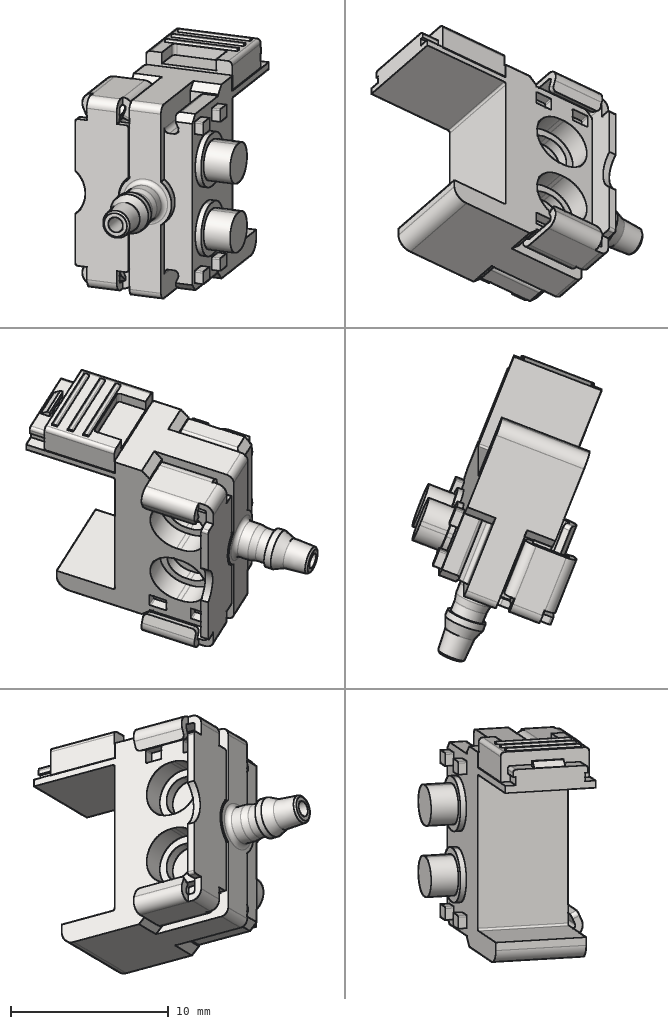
import cadquery as cq
import math


half_width = 3.0
half_height = 6.5
body_back = 7.4
arm_end = 13.58
arm_under = 5.02
arm_plate_top = 5.49
leg_end = 11.45
leg_top = -5.05
leg_radius = 0.93
inner_radius = 0.15

spine_half = 1.08
spine_radius = 0.5
flank_front = 0.58
bevel_back = 5.52
bevel_foot = 4.98
bevel_foot_height = 5.99
lip_chamfer = 0.5
groove_floor = 4.55
groove_radius = 0.32
boss_radius = 1.8

clip_x = -half_width
sheet = 0.5
plate_half_width = 1.82
plate_half_height = 4.91
plate_corner = 0.19
arm_half_width = 1.02
clip_top = 6.4
bend_radius = 0.67
hook_tilt = math.radians(24)
hook_flange = 0.69
hook_inner = 0.22
hook_outer = hook_inner + sheet
hook_front = 1.08
hook_back = 4.76
hook_corner = 0.3
notch_radius = 1.86

port_y = 2.98
port_z = 2.3
port_flat = 0.3
plug_diameter = 2.6
plug_length = 1.8
collar_diameter = 3.5
collar_length = 0.39
counterbore_diameter = 3.63
counterbore_depth = 1.49
socket_depth = collar_length + plug_length
peg_offset = 1.43
peg_size_y = 1.12
peg_size_z = 0.85
peg_z = 4.98
peg_length = 0.58
peg_radius = 0.07
recess_clearance = 0.05

barb_length = 5.02
barb_bore = 1.0
barb_bore_end = port_y
base_radius = 2.4 / 2
base_fillet = 0.32
neck_start = 1.02
neck_end = 1.53
neck_radius = 2.2 / 2
ridge_start = 2.21
ridge_end = 2.68
ridge_radius = 2.6 / 2
tail_start = 3.4
tail_radius = 2.0 / 2
tip_radius = 0.91
tip_chamfer = 0.13

button_half = 2.94
button_back = 12.33
button_front = 7.45
button_top = 7.42
button_radius = 0.28
pocket_half = 1.86
pocket_back = 9.4
pocket_floor = 6.68
pocket_corner = 0.22
rib_places = (11.85, 10.75, 9.67)
rib_half = 2.47
rib_width = 0.39
rib_height = 0.13
rib_round = 0.11

tongue_half = 2.47
tongue_neck_half = 2.29
tongue_under = 6.03
tongue_top = 6.51
tongue_radius = 0.2
tooth_half = 1.02
tooth_front = 12.83
tooth_crest = 13.02
tooth_back = 13.47
tooth_top = 6.86

overlap = 0.19


def box(x0, x1, y0, y1, z0, z1):
    return cq.Workplane("XY").box(x1 - x0, y1 - y0, z1 - z0, centered=False).translate((x0, y0, z0))


def side_profile(points, half):
    """Closed (Y, Z) outline extruded to both sides of X = 0."""
    return cq.Workplane("YZ").polyline(points).close().extrude(half, both=True)


def both_ends(shape):
    """The shape and its mirror image below Z = 0."""
    return shape.union(shape.mirror("XY"))


def both_sides(shape):
    """The shape and its mirror image across X = 0."""
    return shape.union(shape.mirror("YZ"))


def oblong(diameter, x0, x1, z):
    """Prism along X whose section is a circle stretched in Y by the port flat."""
    section = cq.Workplane("YZ").slot2D(diameter + port_flat, diameter)
    return section.extrude(x1 - x0).translate((x0, port_y, z))


def body():
    """C-shaped side outline with the upper arm plate and the lower leg."""
    outline = (
        cq.Workplane("YZ")
        .moveTo(0, -half_height)
        .lineTo(leg_end - leg_radius, -half_height)
        .radiusArc((leg_end, -half_height + leg_radius), -leg_radius)
        .lineTo(leg_end, leg_top)
        .lineTo(body_back, leg_top)
        .lineTo(body_back, arm_under)
        .lineTo(arm_end, arm_under)
        .lineTo(arm_end, arm_plate_top)
        .lineTo(body_back, arm_plate_top)
        .lineTo(body_back, half_height)
        .lineTo(0, half_height)
        .close()
        .extrude(half_width, both=True)
    )
    for z in (leg_top, arm_under):
        corner = cq.selectors.NearestToPointSelector((0, body_back, z))
        outline = outline.edges("|X").edges(corner).fillet(inner_radius)
    return outline.faces("<Y").edges("|X").fillet(spine_radius)


def flank_cut():
    """Space above one lip and in its hook groove, on the +X side of the spine at the top."""
    bump_x = half_width - arm_half_width
    bump_z = clip_top - hook_outer
    lean_x = math.sin(hook_tilt)
    lean_z = math.cos(hook_tilt)
    tangent = (bump_x - hook_inner * lean_z, bump_z - hook_inner * lean_x)
    throat = (tangent[0] + hook_flange * lean_x, tangent[1] - hook_flange * lean_z)
    outer = half_width + overlap
    above = half_height + overlap
    groove = (
        cq.Workplane("XZ")
        .moveTo(spine_half, above)
        .lineTo(outer, above)
        .lineTo(outer, bump_z + hook_inner)
        .lineTo(bump_x, bump_z + hook_inner)
        .threePointArc((bump_x - hook_inner, bump_z), tangent)
        .lineTo(*throat)
        .lineTo(throat[0], groove_floor + groove_radius)
        .radiusArc((throat[0] - groove_radius, groove_floor), groove_radius)
        .lineTo(spine_half + groove_radius, groove_floor)
        .radiusArc((spine_half, groove_floor + groove_radius), groove_radius)
        .close()
        .extrude(-bevel_foot)
    )
    bevel = side_profile(
        [
            (bevel_foot - overlap, bevel_foot_height),
            (bevel_foot, bevel_foot_height),
            (bevel_back, half_height),
            (bevel_foot - overlap, half_height),
        ],
        half_width,
    ).intersect(box(spine_half, half_width, 0, body_back, 0, half_height))
    lip_top = bump_z + hook_inner
    chamfer = side_profile(
        [
            (flank_front, lip_top - lip_chamfer),
            (flank_front + lip_chamfer, lip_top),
            (flank_front, lip_top),
        ],
        half_width,
    ).intersect(box(spine_half, half_width, 0, body_back, 0, half_height))
    return groove.union(bevel).union(chamfer)


def boss():
    return cq.Workplane("XZ").circle(boss_radius).extrude(-(flank_front + overlap))


def barb():
    """Hose barb, turned about the Y axis, with its bore left solid."""
    return (
        cq.Workplane("XY")
        .moveTo(0, overlap)
        .lineTo(base_radius + base_fillet, overlap)
        .lineTo(base_radius + base_fillet, 0)
        .radiusArc((base_radius, -base_fillet), -base_fillet)
        .lineTo(base_radius, -neck_start)
        .lineTo(neck_radius, -neck_end)
        .lineTo(neck_radius, -ridge_start)
        .lineTo(ridge_radius, -ridge_start)
        .lineTo(ridge_radius, -ridge_end)
        .lineTo(tail_radius, -tail_start)
        .lineTo(tip_radius, -barb_length + tip_chamfer)
        .lineTo(tip_radius - tip_chamfer, -barb_length)
        .lineTo(0, -barb_length)
        .close()
        .revolve(360, (0, 0, 0), (0, 1, 0))
    )


def button():
    """Push button with rounded sides, grip ribs and a thumb pocket open to the front."""
    block = box(-button_half, button_half, body_back, button_back, arm_under + overlap, button_top)
    block = block.edges("|Y and >Z").fillet(button_radius)
    gap = box(-half_width, half_width, body_back, button_front, half_height, button_top)
    pocket = box(-pocket_half, pocket_half, body_back - overlap, pocket_back, pocket_floor, button_top)
    block = block.cut(gap).cut(pocket.edges("|Z and >Y").fillet(pocket_corner))
    for y in rib_places:
        rib = box(-rib_half, rib_half, y - rib_width / 2, y + rib_width / 2,
                  button_top - overlap, button_top + rib_height)
        block = block.union(rib.edges("|X and >Z").fillet(rib_round))
    return block


def tongue():
    """Latch tongue on a narrower neck, with a wedge tooth on top."""
    start = button_back - overlap
    neck = box(-tongue_neck_half, tongue_neck_half, start, arm_end, arm_under + overlap, tongue_top)
    plate = box(-tongue_half, tongue_half, start, arm_end, tongue_under, tongue_top)
    plate = plate.edges("|Y and >Z").fillet(tongue_radius)
    neck = neck.intersect(box(-half_width, half_width, start, arm_end, 0, tongue_under + overlap))
    tooth = side_profile(
        [
            (tooth_front, tongue_top - overlap),
            (tooth_back, tongue_top - overlap),
            (tooth_back, tongue_top),
            (tooth_crest, tooth_top),
            (tooth_front, tooth_top),
        ],
        tooth_half,
    )
    return neck.union(plate).union(tooth)


def locating_blocks(x0, x1, clearance):
    """Four rounded blocks along X: the locating pegs, or the spaces that receive them."""
    blocks = cq.Workplane("YZ")
    half_y = (peg_size_y + clearance) / 2
    half_z = (peg_size_z + clearance) / 2
    for y in (port_y - peg_offset, port_y + peg_offset):
        for z in (-peg_z, peg_z):
            block = box(x0, x1, y - half_y, y + half_y, z - half_z, z + half_z)
            blocks = blocks.add(block.edges("|X").fillet(peg_radius))
    return blocks.combine()


def make_housing():
    shape = body()
    flank_space = box(spine_half, half_width, 0, flank_front, -half_height, half_height)
    cuts = flank_space.union(both_ends(flank_cut()))
    shape = shape.cut(both_sides(cuts))
    shape = shape.union(boss()).union(barb()).union(button()).union(tongue())

    bore = cq.Workplane("XZ").circle(barb_bore / 2).extrude(barb_length + barb_bore_end)
    shape = shape.cut(bore.translate((0, barb_bore_end, 0)))

    for z in (-port_z, port_z):
        collar_end = half_width + collar_length
        shape = shape.union(oblong(collar_diameter, half_width - overlap, collar_end, z))
        shape = shape.union(oblong(plug_diameter, half_width - overlap, collar_end + plug_length, z))
        shape = shape.cut(oblong(counterbore_diameter, -half_width, -half_width + counterbore_depth, z))
        shape = shape.cut(oblong(plug_diameter, -half_width, -half_width + socket_depth, z))

    shape = shape.union(locating_blocks(half_width - overlap, half_width + peg_length, 0))
    recess_end = -half_width + peg_length + recess_clearance
    return shape.cut(locating_blocks(-half_width, recess_end, recess_clearance))


def clip_plate():
    """Front plate with rounded corners and a round cut-out in each side."""
    plate = box(-plate_half_width, plate_half_width, flank_front - sheet, flank_front,
                -plate_half_height, plate_half_height)
    plate = plate.edges("|Y").fillet(plate_corner)
    notch = cq.Workplane("XZ").circle(notch_radius).extrude(-flank_front)
    return plate.cut(both_sides(notch.translate((half_width, 0, 0))))


def clip_arm():
    """Bent strip that runs from the plate back over the lips."""
    front = flank_front - sheet
    strip = box(-arm_half_width, arm_half_width, front, hook_back, 0, clip_top)
    strip = strip.faces("<Y").edges(">Z").fillet(bend_radius)
    hollow = box(-arm_half_width, arm_half_width, flank_front, hook_back, 0, clip_top - sheet)
    return strip.cut(hollow.faces("<Y").edges(">Z").fillet(bend_radius - sheet))


def clip_hook():
    """Rolled edge of the arm on the +X side, ending in a flange that leans back under the lip."""
    center_x = arm_half_width
    center_z = clip_top - hook_outer
    lean_x = math.sin(hook_tilt)
    lean_z = math.cos(hook_tilt)

    def rim(radius, angle):
        return (center_x + radius * math.cos(angle), center_z + radius * math.sin(angle))

    middle = (math.pi / 2 - hook_tilt) / 2
    outer_end = rim(hook_outer, -hook_tilt)
    inner_end = rim(hook_inner, -hook_tilt)
    reach = (-hook_flange * lean_x, -hook_flange * lean_z)
    hook = (
        cq.Workplane("XZ")
        .moveTo(center_x, clip_top)
        .threePointArc(rim(hook_outer, middle), outer_end)
        .line(*reach)
        .lineTo(inner_end[0] + reach[0], inner_end[1] + reach[1])
        .lineTo(*inner_end)
        .threePointArc(rim(hook_inner, middle), (center_x, clip_top - sheet))
        .close()
        .extrude(-(hook_back - hook_front))
        .translate((0, hook_front, 0))
    )
    tip = (inner_end[0] + reach[0] + sheet * lean_z / 2, inner_end[1] + reach[1] - sheet * lean_x / 2)
    for y in (hook_front, hook_back):
        corner = cq.selectors.NearestToPointSelector((tip[0], y, tip[1]))
        hook = hook.edges(corner).fillet(hook_corner)
    return hook


def make_clip():
    arm = clip_arm().union(both_sides(clip_hook()))
    return clip_plate().union(both_ends(arm)).translate((clip_x, 0, 0))


housing = make_housing()
clip = make_clip()
result = cq.Compound.makeCompound([housing.val(), clip.val()])